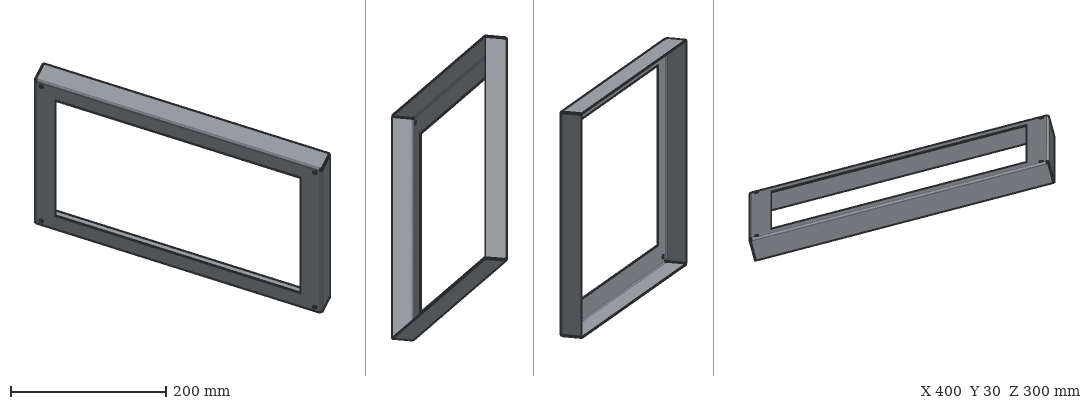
import cadquery as cq

width = 400.0
depth = 30.0
height = 300.0

thickness = 1.5
bend_radius = 3.05
inner_radius = bend_radius - thickness

long_wall_inset = 1.5
short_wall_inset = 2.5

window_width = 341.0
window_height = 240.0
hole_diameter = 5.0
hole_inset = 10.0


def flange(wall_length, bend_length, reach):
    """Upper flange: bend plus straight wall, with its outer side at Z = reach."""
    bend = (
        cq.Workplane("YZ")
        .moveTo(0, reach - bend_radius)
        .radiusArc((bend_radius, reach), bend_radius)
        .lineTo(bend_radius, reach - thickness)
        .radiusArc((thickness, reach - bend_radius), -inner_radius)
        .close()
        .extrude(bend_length / 2, both=True)
    )
    wall = cq.Workplane("XY").box(
        wall_length, depth - bend_radius, thickness, centered=(True, False, True)
    )
    return bend.union(wall.translate((0, bend_radius, reach - thickness / 2)))


def face_plate():
    """Flat face between the bends, with the window and the four corner holes."""
    plate = cq.Workplane("XY").box(
        face_width, thickness, face_height, centered=(True, False, True)
    )
    window = cq.Workplane("XY").box(window_width, depth, window_height)
    holes = (
        cq.Workplane("XZ")
        .rect(width - 2 * hole_inset, height - 2 * hole_inset, forConstruction=True)
        .vertices()
        .circle(hole_diameter / 2)
        .extrude(depth, both=True)
    )
    return plate.cut(window).cut(holes)


face_width = width - 2 * bend_radius
face_height = height - 2 * bend_radius

long_flange = flange(width - 2 * long_wall_inset, face_width, height / 2)
short_flange = flange(height - 2 * short_wall_inset, face_height, width / 2)

frame = face_plate()
for turn in (0, 180):
    frame = frame.union(long_flange.rotate((0, 0, 0), (0, 1, 0), turn))
    frame = frame.union(short_flange.rotate((0, 0, 0), (0, 1, 0), turn + 90))

result = frame.translate((0, -depth / 2, 0))